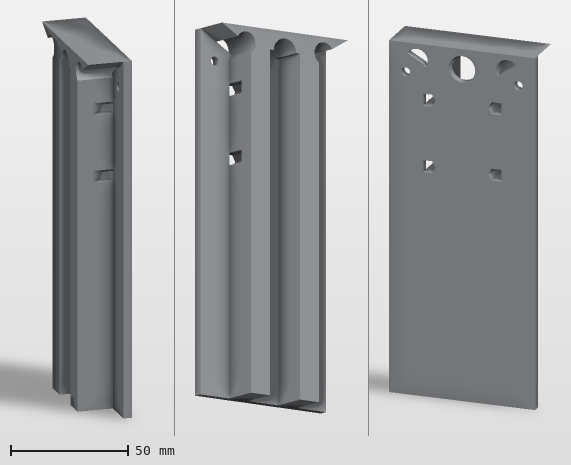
import cadquery as cq
import math

WIDTH = 66.5
DEPTH = 19.5
HEIGHT = 159.0

PLATE_THICKNESS = 3.8
BLOCK_DEPTH = DEPTH - PLATE_THICKNESS
BLOCK_WIDTH = 35.8
BLOCK_SIDE = BLOCK_WIDTH / 2
GUSSET_ANGLE = 30.0

CHANNEL_WIDTH = 15.9
CHANNEL_DROP = 8.7
CENTRE_HOLE_DIAMETER = 12.0
CENTRE_HOLE_DROP = 9.0

SCREW_DIAMETER = 4.0
SCREW_OFFSET = 25.6
SCREW_DROP = 13.4

SIDE_HOLE_DIAMETER = 9.9
SIDE_HOLE_OFFSET = 20.5
SIDE_HOLE_DROP = 7.3
PLATE_LIP_WIDTH = 3.2

POCKET_HEIGHT = 5.4
POCKET_OPENING = 8.7
POCKET_TIP_DEPTH = 5.9
POCKET_WALL_SLOPE = 1.0
POCKET_TIP_LENGTH = POCKET_HEIGHT / 2 * math.tan(math.radians(30))
POCKET_DROPS = (25.0, 55.0)


def box(x_min, x_max, y_min, y_max, z_min, z_max):
    size = (x_max - x_min, y_max - y_min, z_max - z_min)
    return cq.Workplane("XY").box(*size, centered=False).translate((x_min, y_min, z_min))


def extrude_back(points, y_min, y_max):
    """Extrude an XZ outline from y_min to y_max."""
    profile = cq.Workplane("XZ", origin=(0, y_min, 0)).polyline(points).close()
    return profile.extrude(y_min - y_max)


def hole(diameter, x, drop):
    """Round cutter through the full depth, placed below the top face."""
    return cq.Workplane("XZ").center(x, HEIGHT - drop).circle(diameter / 2).extrude(-DEPTH)


def mirrored(left_shape):
    return left_shape.union(left_shape.mirror("YZ"))


def make_gusset():
    """Left wedge between the block and the top corner."""
    drop = (WIDTH / 2 - BLOCK_SIDE) * math.tan(math.radians(GUSSET_ANGLE))
    outline = [(-WIDTH / 2, HEIGHT), (-BLOCK_SIDE, HEIGHT), (-BLOCK_SIDE, HEIGHT - drop)]
    return extrude_back(outline, 0, BLOCK_DEPTH)


def make_side_hole():
    """Left hole, limited within the plate by the gusset slope and a 45 degree lip."""
    drop = (WIDTH / 2 - BLOCK_SIDE) * math.tan(math.radians(GUSSET_ANGLE))
    lip_x = -BLOCK_SIDE + PLATE_LIP_WIDTH
    closed_plate = [
        (-WIDTH / 2, HEIGHT),
        (-BLOCK_SIDE, HEIGHT - drop),
        (lip_x, HEIGHT - drop - PLATE_LIP_WIDTH),
        (lip_x, 0),
        (-WIDTH / 2, 0),
    ]
    cutter = hole(SIDE_HOLE_DIAMETER, -SIDE_HOLE_OFFSET, SIDE_HOLE_DROP)
    return cutter.cut(extrude_back(closed_plate, BLOCK_DEPTH, DEPTH))


def make_pocket(drop):
    """Left pocket with a V-shaped end and a front wall sloping back towards the plate."""
    z = HEIGHT - drop
    half_height = POCKET_HEIGHT / 2
    tip_x = -BLOCK_SIDE + POCKET_TIP_DEPTH
    shoulder_x = tip_x - POCKET_TIP_LENGTH
    mouth_y = BLOCK_DEPTH - POCKET_OPENING
    pointed = extrude_back(
        [
            (-BLOCK_SIDE, z - half_height),
            (shoulder_x, z - half_height),
            (tip_x, z),
            (shoulder_x, z + half_height),
            (-BLOCK_SIDE, z + half_height),
        ],
        mouth_y,
        DEPTH,
    )
    sloped = (
        cq.Workplane("XY")
        .polyline([
            (-BLOCK_SIDE, mouth_y),
            (tip_x, mouth_y + POCKET_WALL_SLOPE * POCKET_TIP_DEPTH),
            (tip_x, DEPTH),
            (-BLOCK_SIDE, DEPTH),
        ])
        .close()
        .extrude(HEIGHT)
    )
    return pointed.intersect(sloped)


result = box(-WIDTH / 2, WIDTH / 2, BLOCK_DEPTH, DEPTH, 0, HEIGHT)
result = result.union(box(-BLOCK_SIDE, BLOCK_SIDE, 0, BLOCK_DEPTH, 0, HEIGHT))
result = result.union(mirrored(make_gusset()))

result = result.cut(box(-CHANNEL_WIDTH / 2, CHANNEL_WIDTH / 2, 0, BLOCK_DEPTH, 0, HEIGHT - CHANNEL_DROP))
result = result.cut(hole(CENTRE_HOLE_DIAMETER, 0, CENTRE_HOLE_DROP))
result = result.cut(mirrored(make_side_hole()))
result = result.cut(mirrored(hole(SCREW_DIAMETER, -SCREW_OFFSET, SCREW_DROP)))

for pocket_drop in POCKET_DROPS:
    result = result.cut(mirrored(make_pocket(pocket_drop)))